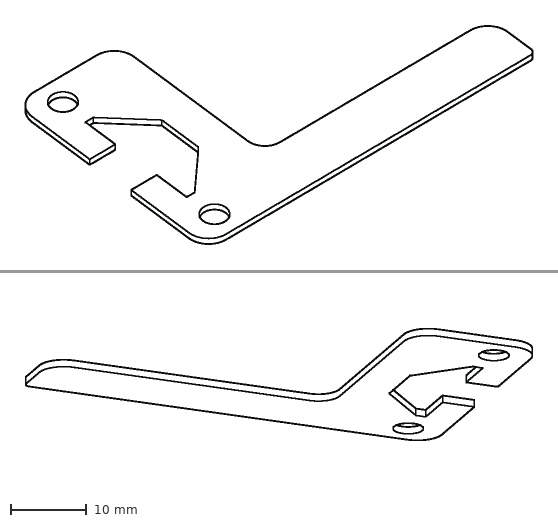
import cadquery as cq

width = 38.0
length = 58.0
thickness = 1.0
arm_width = 9.0
body_height = 18.0

outer_radius = 3.5
inner_radius = 3.0
tip_radius = 0.85

hole_diameter = 4.0
hole_side_inset = 4.0
hole_height = 5.0

mouth_width = 8.2
lip_height = 4.5
channel_width = 20.0
shoulder_height = 5.9
roof_width = 7.25
roof_height = 12.3

arm_left = width - arm_width
center_x = width / 2


def round_corner(plate, x, y, radius):
    """Round the upright edge of the plate at the given corner."""
    corner = cq.selectors.NearestToPointSelector((x, y, thickness / 2))
    return plate.edges("|Z").edges(corner).fillet(radius)


def make_plate():
    outline = [
        (0, 0),
        (width, 0),
        (width, length),
        (arm_left, length),
        (arm_left, body_height),
        (0, body_height),
    ]
    radii = [outer_radius, outer_radius, tip_radius, outer_radius, inner_radius, outer_radius]
    plate = cq.Workplane("XY").polyline(outline).close().extrude(thickness)
    for (x, y), radius in zip(outline, radii):
        plate = round_corner(plate, x, y, radius)
    return plate


def make_channel():
    right_side = [
        (mouth_width / 2, 0),
        (mouth_width / 2, lip_height),
        (channel_width / 2, lip_height),
        (channel_width / 2, shoulder_height),
        (roof_width / 2, roof_height),
    ]
    left_side = [(-x, y) for x, y in reversed(right_side)]
    profile = cq.Workplane("XY").polyline(right_side + left_side).close().extrude(thickness)
    return profile.translate((center_x, 0, 0))


def make_holes():
    centers = [(hole_side_inset, hole_height), (width - hole_side_inset, hole_height)]
    return cq.Workplane("XY").pushPoints(centers).circle(hole_diameter / 2).extrude(thickness)


result = make_plate().cut(make_channel()).cut(make_holes())